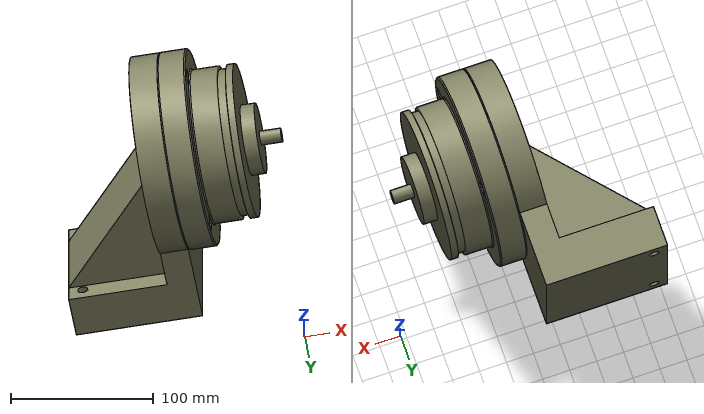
import cadquery as cq
import math


disc_diameter = 140.0
plate_thickness = 20.0
bracket_width = 90.0
foot_thickness = 30.0
foot_outer_y = 110.0
foot_reach = 70.0
rib_width = 60.0
foot_hole_diameter = 7.0
foot_hole_edge_distance = 10.0

bolt_hole_diameter = 10.0
bolt_circle_radius = 60.0
bolt_count = 3

flange_thickness = 20.0
flange_chamfer = 1.0
body_diameter = 109.2
body_length = 31.15
body_edge_fillet = 0.3
body_root_fillet = 1.0
groove_diameter = 104.0
groove_width = 6.0
rim_width = 5.15
boss_diameter = 50.0
boss_length = 10.0
shaft_diameter = 10.0
shaft_length = 15.0

plate_outer_x = -plate_thickness
foot_end_x = plate_outer_x - foot_reach
foot_inner_y = foot_outer_y - foot_thickness
foot_length = foot_reach + plate_thickness
foot_hole_x = foot_end_x + foot_hole_edge_distance
foot_hole_z = bracket_width / 2 - foot_hole_edge_distance
body_end_x = flange_thickness + body_length
rim_start_x = body_end_x - rim_width
groove_start_x = rim_start_x - groove_width
boss_end_x = body_end_x + boss_length
shaft_end_x = boss_end_x + shaft_length


def cylinder(start_x, length, diameter):
    """Round bar along the drive axis."""
    return cq.Workplane("YZ").workplane(offset=start_x).circle(diameter / 2).extrude(length)


def bolt_holes(start_x, length):
    """Cutters for the bolt circle, with one hole on the -Y side."""
    angles = [math.pi + 2 * math.pi * i / bolt_count for i in range(bolt_count)]
    centers = [(bolt_circle_radius * math.cos(a), bolt_circle_radius * math.sin(a)) for a in angles]
    return (
        cq.Workplane("YZ")
        .workplane(offset=start_x)
        .pushPoints(centers)
        .circle(bolt_hole_diameter / 2)
        .extrude(length)
    )


def make_bracket():
    """Round plate joined to a foot, braced by a triangular rib."""
    disc = cylinder(plate_outer_x, plate_thickness, disc_diameter)
    neck = cq.Workplane("XY").box(
        plate_thickness, foot_outer_y, bracket_width, centered=(False, False, True)
    ).translate((plate_outer_x, 0, 0))
    foot = cq.Workplane("XY").box(
        foot_length, foot_thickness, bracket_width, centered=(False, False, True)
    ).translate((foot_end_x, foot_inner_y, 0))
    rib = (
        cq.Workplane("XY")
        .polyline([(foot_end_x, foot_inner_y), (plate_outer_x, foot_inner_y), (plate_outer_x, 0)])
        .close()
        .extrude(rib_width / 2, both=True)
    )
    foot_holes = (
        cq.Workplane("XZ")
        .workplane(offset=-foot_outer_y)
        .pushPoints([(foot_hole_x, foot_hole_z), (foot_hole_x, -foot_hole_z)])
        .circle(foot_hole_diameter / 2)
        .extrude(foot_thickness)
    )
    bracket = disc.union(neck).union(foot).union(rib)
    return bracket.cut(foot_holes).cut(bolt_holes(plate_outer_x, plate_thickness))


def make_drive_unit():
    """Bolted flange, grooved body, boss and output shaft, revolved as one profile of (x, radius) points."""
    flange_radius = disc_diameter / 2
    body_radius = body_diameter / 2
    groove_radius = groove_diameter / 2
    boss_radius = boss_diameter / 2
    shaft_radius = shaft_diameter / 2
    edge_sag = body_edge_fillet * (1 - math.sqrt(0.5))
    root_sag = body_root_fillet * (1 - math.sqrt(0.5))
    unit = (
        cq.Workplane("XY")
        .lineTo(0, flange_radius - flange_chamfer)
        .lineTo(flange_chamfer, flange_radius)
        .lineTo(flange_thickness - flange_chamfer, flange_radius)
        .lineTo(flange_thickness, flange_radius - flange_chamfer)
        .lineTo(flange_thickness, body_radius + body_root_fillet)
        .threePointArc(
            (flange_thickness + root_sag, body_radius + root_sag),
            (flange_thickness + body_root_fillet, body_radius),
        )
        .lineTo(groove_start_x - body_edge_fillet, body_radius)
        .threePointArc(
            (groove_start_x - edge_sag, body_radius - edge_sag),
            (groove_start_x, body_radius - body_edge_fillet),
        )
        .lineTo(groove_start_x, groove_radius)
        .lineTo(rim_start_x, groove_radius)
        .lineTo(rim_start_x, body_radius)
        .lineTo(body_end_x, body_radius)
        .lineTo(body_end_x, boss_radius)
        .lineTo(boss_end_x, boss_radius)
        .lineTo(boss_end_x, shaft_radius)
        .lineTo(shaft_end_x, shaft_radius)
        .lineTo(shaft_end_x, 0)
        .close()
        .revolve(360, (0, 0, 0), (1, 0, 0))
    )
    return unit.cut(bolt_holes(0, flange_thickness + body_root_fillet))


bracket = make_bracket()
drive_unit = make_drive_unit()

result = cq.Compound.makeCompound([bracket.val(), drive_unit.val()])